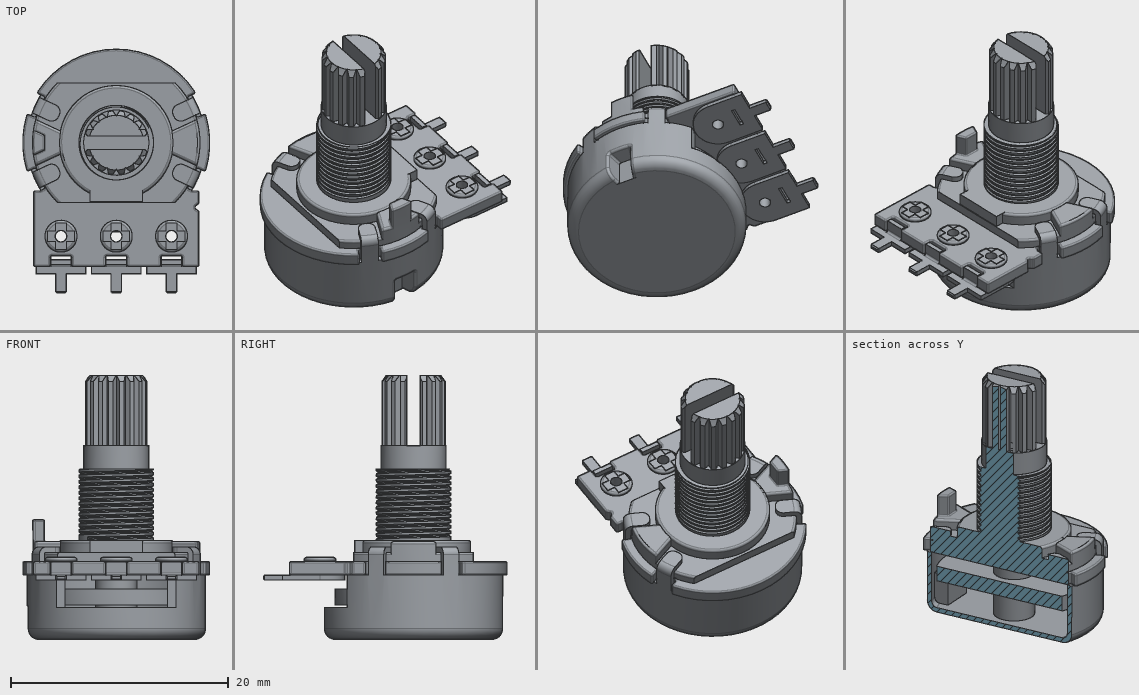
import cadquery as cq
import math


overall_depth = 22.4
selection_margin = 0.1

terminal_bottom_z = 5.45
can_top_z = 5.9
plate_top_z = 7.15
block_top_z = 8.0
ear_top_z = 9.0
flange_top_z = 9.1
tab_top_z = 11.0
bushing_top_z = 15.65
shoulder_z = 17.8
shaft_top_z = 24.25

can_radius = 8.2
sheet_thickness = 0.5
can_inner_radius = can_radius - sheet_thickness
can_bottom_fillet = 1.0
window_y = -6.1
window_bottom_z = 2.95
dent_half_width = 1.15
dent_floor_half_width = 0.7
dent_depth = 1.6
dent_top_z = 2.95
dent_fillet = 0.25
dent_corner_radius = 0.2

rotor_radius = 7.22
rotor_bottom_z = 3.15
rotor_top_z = 4.65
hub_radius = 1.9

prong_angle = 25.0
prong_width = 1.57
prong_tip_radius = 5.82
prong_bend_radius = 0.7
prong_corner_radius = 0.7

plate_radius = 8.6
plate_half_width = 7.6
plate_front_y = -11.4
plate_shoulder_y = -4.43
plate_fillet = 0.15
plate_corner_radius = 0.17
prong_notch_width = 2.1
vee_y = -5.95
vee_depth = 0.45
vee_half_width = 0.38

block_half_depth = 5.5
block_fillet = 0.2
flange_radius = 5.25
flange_fillet = 0.23
flange_pad_half_width = 2.43
flange_pad_setback = 0.08
ear_inset = 1.2
ear_fillet = 0.23
ear_side_fillet = 0.1
tab_half_width = 1.2
tab_thickness = 1.1
tab_fillet = 0.15
tab_foot_fillet = 0.1

thread_radius = 3.43
thread_pitch = 0.5
thread_depth = 0.15
thread_mouth = 0.3
thread_root = 0.1
thread_start_z = flange_top_z + 0.18
thread_start_angle = -140.0

shaft_radius = 3.0
spline_radius = 2.93
spline_root_radius = 2.44
spline_count = 18
spline_mouth_half_width = 0.31
tip_chamfer_height = 0.55
tip_chamfer_width = 0.42
slot_width = 1.22

terminal_pitch = 5.08
terminal_width = 4.57
rivet_y = -8.6
rivet_radius = 1.47
rivet_height = 0.38
rivet_top_fillet = 0.24
rivet_bottom_fillet = 0.12
rivet_cross_width = 1.0
rivet_cross_height = 0.05
rivet_hole_radius = 0.52
strip_end_y = -12.05
pin_end_y = plate_radius - overall_depth
pin_width = 1.0
pin_chamfer = 0.12
plate_slot_width = 2.0
plate_slot_depth = 1.0
upturn_width = 1.84
upturn_opening_end_y = -10.4
upturn_top_z = 7.1
upturn_bend_radius = 0.2


def around_axis(body, angle):
    return body.rotate((0, 0, 0), (0, 0, 1), angle)


def cylinder(radius, bottom_z, top_z):
    """Cylinder on the shaft axis, with its seam line on the -X side."""
    body = cq.Workplane("XY").workplane(offset=bottom_z).circle(radius).extrude(top_z - bottom_z)
    return around_axis(body, 180)


def block(x_range, y_range, z_range):
    size = [high - low for low, high in (x_range, y_range, z_range)]
    return cq.Workplane("XY").box(*size, centered=False).translate((x_range[0], y_range[0], z_range[0]))


def prong_angles():
    return (prong_angle, 180 - prong_angle, 180 + prong_angle, 360 - prong_angle)


def make_can():
    outer = cylinder(can_radius, 0, can_top_z).faces("<Z").edges().fillet(can_bottom_fillet)
    inner = cylinder(can_inner_radius, sheet_thickness, can_top_z)
    inner = inner.faces("<Z").edges().fillet(can_bottom_fillet - sheet_thickness)
    reach = 2 * can_radius
    window = block((-reach, reach), (-reach, window_y), (window_bottom_z, can_top_z))
    can = outer.cut(inner).cut(window)

    floor_x = -can_radius + dent_depth
    wall_half_width = dent_half_width + sheet_thickness
    backing = block(
        (-can_radius, floor_x + sheet_thickness),
        (-wall_half_width, wall_half_width),
        (0, dent_top_z + sheet_thickness),
    ).intersect(outer)
    dent = (
        cq.Workplane("XY")
        .polyline([
            (-reach, -dent_half_width),
            (-can_radius, -dent_half_width),
            (floor_x, -dent_floor_half_width),
            (floor_x, dent_floor_half_width),
            (-can_radius, dent_half_width),
            (-reach, dent_half_width),
        ])
        .close()
        .extrude(dent_top_z)
    )
    dent = dent.faces(">Z").edges("not(|Y)").fillet(dent_corner_radius)
    dented = can.union(backing).cut(dent)
    rim = cq.selectors.BoxSelector(
        (-can_radius - selection_margin, -dent_half_width - selection_margin, selection_margin),
        (-can_radius + 2 * selection_margin, dent_half_width + selection_margin, dent_top_z + selection_margin),
    )
    return dented.edges(rim).fillet(dent_fillet)


def make_rotor():
    rotor = cylinder(rotor_radius, rotor_bottom_z, rotor_top_z)
    hub = cylinder(hub_radius, 0, plate_top_z)
    return rotor.union(hub)


def make_prong():
    root_z = can_top_z - sheet_thickness
    prong_top_z = block_top_z + sheet_thickness
    ring = cylinder(can_radius, root_z, prong_top_z).faces(">Z").edges().fillet(prong_bend_radius)
    core = cylinder(can_inner_radius, root_z, block_top_z).faces(">Z").edges().fillet(block_fillet)
    strip = block(
        (prong_tip_radius, can_radius),
        (-prong_width / 2, prong_width / 2),
        (root_z, prong_top_z),
    )
    strip = strip.faces("<X").edges("|Z").fillet(prong_corner_radius)
    return ring.cut(core).intersect(strip)


def make_plate():
    plate = cylinder(plate_radius, can_top_z, plate_top_z)
    notch = block(
        (can_inner_radius, 2 * plate_radius),
        (-prong_notch_width / 2, prong_notch_width / 2),
        (can_top_z, plate_top_z),
    )
    for angle in prong_angles():
        plate = plate.cut(around_axis(notch, angle))

    plate = plate.union(block(
        (-plate_half_width, plate_half_width),
        (plate_front_y, plate_shoulder_y),
        (can_top_z, plate_top_z),
    ))
    for x in terminal_columns():
        plate = plate.cut(block(
            (x - plate_slot_width / 2, x + plate_slot_width / 2),
            (plate_front_y, plate_front_y + plate_slot_depth),
            (can_top_z, plate_top_z),
        ))

    vee = (
        cq.Workplane("XY")
        .workplane(offset=can_top_z)
        .moveTo(plate_half_width, vee_y - vee_half_width)
        .lineTo(plate_half_width - vee_depth, vee_y)
        .lineTo(plate_half_width, vee_y + vee_half_width)
        .close()
        .extrude(plate_top_z - can_top_z)
    )
    plate = plate.cut(vee).edges("|Z").fillet(plate_corner_radius)
    return plate.faces("<Z or >Z").edges().fillet(plate_fillet)


def make_block_and_flange():
    reach = 2 * plate_radius
    base = cylinder(can_inner_radius, plate_top_z, block_top_z).faces(">Z").edges().fillet(block_fillet)
    base = base.intersect(
        block((-reach, reach), (-block_half_depth, block_half_depth), (plate_top_z, block_top_z))
    )
    flange = cylinder(flange_radius, block_top_z, flange_top_z).faces(">Z").edges().fillet(flange_fillet)
    pad = block(
        (-flange_pad_half_width, flange_pad_half_width),
        (-block_half_depth + flange_pad_setback, 0),
        (block_top_z, flange_top_z),
    )
    return base.union(flange).union(pad)


def make_ears():
    ear_bottom_z = block_top_z - block_fillet
    disc = cylinder(can_inner_radius, ear_bottom_z, ear_top_z)
    apex_x = ear_inset / math.sin(math.radians(prong_angle))
    side_rise = math.tan(math.radians(prong_angle))
    reach = 2 * can_radius
    half_spread = (reach - apex_x) * side_rise
    sector = (
        cq.Workplane("XY")
        .workplane(offset=ear_bottom_z)
        .polyline([(apex_x, 0), (reach, -half_spread), (reach, half_spread)])
        .close()
        .extrude(ear_top_z - ear_bottom_z)
    )
    ear = disc.intersect(sector).edges("|Z").edges(">Y or <Y").fillet(ear_side_fillet)
    ear = ear.faces(">Z").edges().fillet(ear_fillet)
    return ear.union(around_axis(ear, 180))


def make_locating_tab():
    inner_half_width = tab_half_width - tab_thickness * math.tan(math.radians(prong_angle))
    inner_x = -can_inner_radius + tab_thickness
    tab = (
        cq.Workplane("XY")
        .workplane(offset=block_top_z)
        .polyline([
            (-can_radius, -tab_half_width),
            (-can_inner_radius, -tab_half_width),
            (inner_x, -inner_half_width),
            (inner_x, inner_half_width),
            (-can_inner_radius, tab_half_width),
            (-can_radius, tab_half_width),
        ])
        .close()
        .extrude(tab_top_z - block_top_z)
    )
    tab = tab.intersect(cylinder(can_inner_radius, block_top_z, tab_top_z))
    return tab.edges("|Z").fillet(tab_fillet).faces(">Z").edges().fillet(tab_fillet)


def make_ears_with_tab():
    margin = selection_margin
    tab_inner_x = -can_inner_radius + tab_thickness
    tab_foot = cq.selectors.BoxSelector(
        (-can_inner_radius - margin, -tab_half_width - margin, ear_top_z - margin),
        (tab_inner_x + margin, tab_half_width + margin, ear_top_z + margin),
    )
    return make_ears().union(make_locating_tab()).edges(tab_foot).fillet(tab_foot_fillet)


def make_bushing():
    bushing = cylinder(thread_radius, flange_top_z, bushing_top_z)
    helix_height = bushing_top_z - thread_start_z + 2 * thread_pitch
    path = cq.Workplane(obj=cq.Wire.makeHelix(thread_pitch, helix_height, thread_radius))
    clearance = thread_depth
    groove = (
        cq.Workplane("XZ")
        .polyline([
            (thread_radius + clearance, -thread_mouth / 2),
            (thread_radius, -thread_mouth / 2),
            (thread_radius - thread_depth, -thread_root / 2),
            (thread_radius - thread_depth, thread_root / 2),
            (thread_radius, thread_mouth / 2),
            (thread_radius + clearance, thread_mouth / 2),
        ])
        .close()
        .sweep(path, isFrenet=True)
        .translate((0, 0, thread_start_z))
    )
    return bushing.cut(around_axis(groove, thread_start_angle))


def make_shaft():
    plain = cylinder(shaft_radius, bushing_top_z, shoulder_z)
    splined = cylinder(spline_radius, shoulder_z, shaft_top_z)
    splined = splined.faces(">Z").edges().chamfer(tip_chamfer_height, tip_chamfer_width)
    groove = (
        cq.Workplane("XY")
        .workplane(offset=shoulder_z)
        .polyline([
            (spline_root_radius, 0),
            (spline_radius, -spline_mouth_half_width),
            (shaft_radius, -spline_mouth_half_width),
            (shaft_radius, spline_mouth_half_width),
            (spline_radius, spline_mouth_half_width),
        ])
        .close()
        .extrude(shaft_top_z - shoulder_z)
    )
    step = 360 / spline_count
    for index in range(spline_count):
        splined = splined.cut(around_axis(groove, 90 + index * step))
    slot = block(
        (-shaft_radius, shaft_radius),
        (-slot_width / 2, slot_width / 2),
        (shoulder_z, shaft_top_z),
    )
    return plain.union(splined.cut(slot))


def terminal_columns():
    return (-terminal_pitch, 0, terminal_pitch)


def make_terminal(x):
    half_width = terminal_width / 2
    upturn_front_y = plate_front_y + upturn_bend_radius
    upturn_back_y = upturn_front_y + can_top_z - terminal_bottom_z
    strip_z = (terminal_bottom_z, can_top_z)
    strip = block((-half_width, half_width), (strip_end_y, rivet_y), strip_z)
    opening = block(
        (-upturn_width / 2, upturn_width / 2),
        (upturn_back_y, upturn_opening_end_y),
        strip_z,
    )
    rounded_end = cylinder(half_width, *strip_z).translate((0, rivet_y, 0))
    pin = block((-pin_width / 2, pin_width / 2), (pin_end_y, strip_end_y), strip_z)
    pin = pin.faces("<Y").edges().chamfer(pin_chamfer)
    upturn = block(
        (-upturn_width / 2, upturn_width / 2),
        (upturn_front_y, upturn_back_y),
        (terminal_bottom_z, upturn_top_z),
    )
    terminal = strip.union(rounded_end).cut(opening).union(pin).union(upturn)
    bend_line = cq.selectors.NearestToPointSelector((0, upturn_front_y, can_top_z))
    terminal = terminal.edges("|X").edges(bend_line).fillet(upturn_bend_radius)
    return terminal.translate((x, 0, 0))


def make_rivet(x):
    head_top_z = plate_top_z + rivet_height
    head = cylinder(rivet_radius, plate_top_z, head_top_z)
    head = head.faces(">Z").edges().fillet(rivet_top_fillet).faces("<Z").edges().fillet(rivet_bottom_fillet)
    half_width = rivet_cross_width / 2
    arm_reach = rivet_radius - rivet_top_fillet
    cross_z = (plate_top_z, head_top_z + rivet_cross_height)
    across = block((-arm_reach, arm_reach), (-half_width, half_width), cross_z)
    return head.union(across).union(around_axis(across, 90)).translate((x, rivet_y, 0))


result = make_can().union(make_rotor()).union(make_plate()).union(make_block_and_flange())
result = result.union(make_ears_with_tab())
for angle in prong_angles():
    result = result.union(around_axis(make_prong(), angle))
for column_x in terminal_columns():
    result = result.union(make_terminal(column_x)).union(make_rivet(column_x))
    rivet_hole = cylinder(rivet_hole_radius, terminal_bottom_z, block_top_z)
    result = result.cut(rivet_hole.translate((column_x, rivet_y, 0)))
result = result.union(make_bushing()).union(make_shaft())